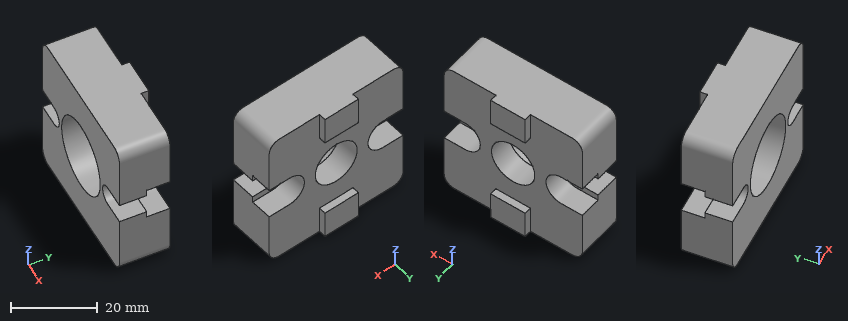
import cadquery as cq

side = 40.0
body_depth = 13.0
corner_radius = 3.0

bore_diameter = 12.5
counterbore_diameter = side / 2
counterbore_depth = 6.5

slot_width = 5.5
head_slot_width = 9.0
head_slot_depth = 6.0
slot_center_inset = 6.0

tab_width = side / 4
tab_length = 8.0
tab_height = 2.0


def cylinder_along_y(diameter, start, length):
    """Cylinder on the hole axis, running toward +Y from Y = start."""
    profile = cq.Workplane("XZ", origin=(0, start, 0)).circle(diameter / 2)
    return profile.extrude(-length)


def side_slot(direction, width, start, length):
    """Round-ended slot cutter, open at the side given by direction (-1 or 1)."""
    center_x = direction * (side / 2 - slot_center_inset)
    round_end = cylinder_along_y(width, start, length).translate((center_x, 0, 0))
    channel = cq.Workplane("XY").box(
        slot_center_inset, length, width
    ).translate((direction * (side - slot_center_inset) / 2, start + length / 2, 0))
    return round_end.union(channel)


block = cq.Workplane("XY").box(side, body_depth, side).translate((0, body_depth / 2, 0))
result = block.edges("|Y").fillet(corner_radius)

result = result.cut(cylinder_along_y(bore_diameter, 0, body_depth))
result = result.cut(cylinder_along_y(counterbore_diameter, 0, counterbore_depth))

head_start = body_depth - head_slot_depth
for direction in (-1, 1):
    result = result.cut(side_slot(direction, slot_width, 0, body_depth))
    result = result.cut(side_slot(direction, head_slot_width, head_start, head_slot_depth))

for direction in (-1, 1):
    tab = cq.Workplane("XY").box(tab_width, tab_height, tab_length).translate(
        (0, body_depth + tab_height / 2, direction * (side - tab_length) / 2)
    )
    result = result.union(tab)